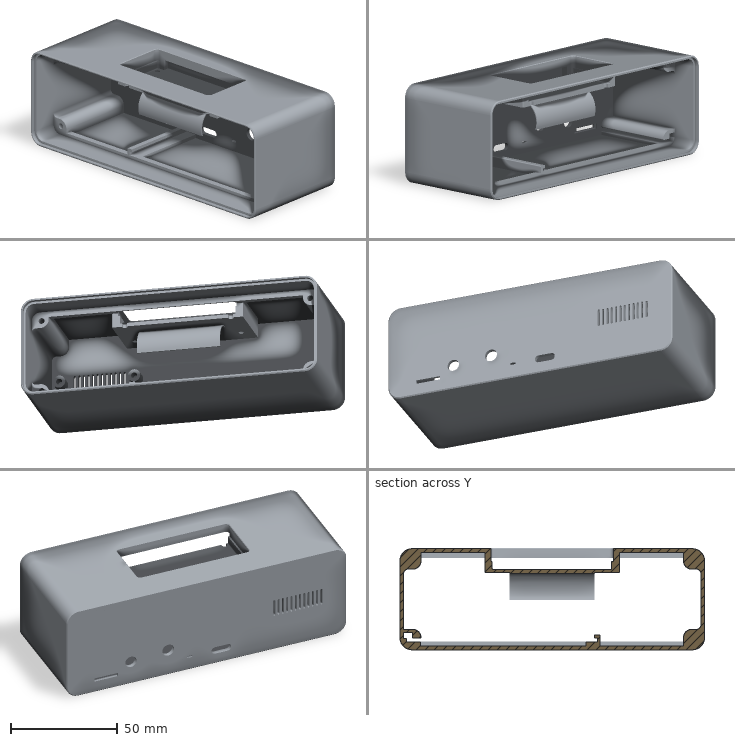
import cadquery as cq
import math

length = 144.0
depth = 56.0
height = 48.0
wall = 2.0
corner_radius = 6.0
edge_chamfer = 0.5
lip_wall = 0.94
lip_depth = 2.0

front_y = -depth / 2
back_y = depth / 2
inner_back_y = back_y - wall
inner_x = length / 2 - wall
inner_z = height / 2 - wall
below_floor = lip_wall - height / 2
above_ceiling = height / 2 - lip_wall

stop_front_y = front_y + 14.0
stop_width = 3.0
stop_back_y = stop_front_y + stop_width
lower_stop_top = -20.2
upper_stop_bottom = 19.3

screw_diameter = 2.9
screw_depth = 11.5
drill_point_angle = 118.0
corner_screw_x = 65.2
corner_screw_z = 17.5
corner_boss_reach = 3.5
corner_boss_radius = 4.0
corner_boss_fillet = 1.9
fan_screw_x = (-65.2, -28.8)
fan_screw_z = -0.7
fan_boss_diameter = 6.0
fan_boss_height = 5.8
fan_screw_depth = 4.3

board_slot_top = -18.3
rail_left = -22.7
rail_thickness = 1.5
rail_lip_right = -19.9
rail_top = -16.8
left_support_right = -15.7
right_support_left = 61.9
guide_edge_radius = 0.5
board_stop_left = 68.5
guide_notch_left = 66.1
guide_notch_top = -15.8

window_half_x = 28.8
window_half_y = 13.2
window_radius = 1.7
window_chamfer = 0.3
window_bottom = 18.0
tray_half_x = 31.8
tray_edge_radius = 0.5
tray_back_y = 18.7
tray_bottom = 12.4
tray_floor_top = 14.1
tray_left = -28.0
tray_right = 28.2
tray_corner_radius = 1.0
tray_foot_radius = 0.5
undercut_half_x = 24.5
undercut_back_y = 16.3
undercut_top = upper_stop_bottom
display_hole_diameter = 2.5
display_hole_x = 25.8
display_hole_y = 10.2

tongue_y = 0.7
tongue_z = 2.7
tongue_radius = 10.0
tongue_thickness = 0.5
tongue_half_length = 20.2
tongue_bottom = -0.6

vent_count = 12
vent_width = 1.0
vent_height = 8.6
vent_pitch = 2.2
vent_first_x = -59.0
usb_center = (-7.5, -16.7)
usb_size = (10.1, 3.6)
light_slot_center = (8.8, -16.7)
light_slot_length = 2.9
light_slot_width = 1.0
jack_holes = ((19.9, -10.2, 6.0), (39.0, -11.8, 5.8))
card_pocket_center = (51.0, -17.1)
card_pocket_size = (15.5, 2.6)
card_pocket_depth = 1.0
card_pocket_chamfer = 0.5
card_slot_center = (51.8, -17.1)
card_slot_size = (12.1, 1.7)


def box(x0, x1, y0, y1, z0, z1):
    return cq.Workplane("XY").box(x1 - x0, y1 - y0, z1 - z0, centered=False).translate((x0, y0, z0))


def front_plane(y):
    """Sketch plane facing the open front, with X to the right and Z up."""
    return cq.Workplane("XZ", origin=(0, y, 0))


def rounded_block(inset, y0, y1):
    """Block along Y with the outline of the case moved inwards by inset."""
    block = box(inset - length / 2, length / 2 - inset, y0, y1, inset - height / 2, height / 2 - inset)
    return block.edges("|Y").fillet(corner_radius - inset)


def drilled_hole(x, y, z, hole_depth):
    """Blind screw hole entered from the front, ending in a drill point."""
    radius = screw_diameter / 2
    point = radius / math.tan(math.radians(drill_point_angle / 2))
    half_section = [(0, 0), (radius, 0), (radius, hole_depth), (0, hole_depth + point)]
    return cq.Workplane("XY").polyline(half_section).close().revolve(360, (0, 0), (0, 1)).translate((x, y, z))


def shell():
    body = rounded_block(0, front_y, back_y).faces("<Y or >Y").chamfer(edge_chamfer)
    cavity = rounded_block(wall, front_y, inner_back_y)
    lip = rounded_block(lip_wall, front_y, front_y + lip_depth)
    return body.cut(cavity).cut(lip)


def corner_boss(side_x, side_z):
    """Boss filling one corner, rounded about its screw and blended into the side wall."""
    side_edge = corner_screw_x - corner_boss_reach
    level_edge = corner_screw_z - corner_boss_reach
    outer_x = length / 2 - lip_wall
    outline = (
        front_plane(inner_back_y)
        .moveTo(outer_x, above_ceiling)
        .lineTo(side_edge, above_ceiling)
        .lineTo(side_edge, level_edge + corner_boss_radius)
        .radiusArc((side_edge + corner_boss_radius, level_edge), -corner_boss_radius)
        .lineTo(inner_x - corner_boss_fillet, level_edge)
        .radiusArc((inner_x, level_edge - corner_boss_fillet), corner_boss_fillet)
        .lineTo(outer_x, level_edge - corner_boss_fillet)
        .close()
    )
    boss = outline.extrude(inner_back_y - stop_front_y)
    if side_x < 0:
        boss = boss.mirror("YZ")
    if side_z < 0:
        boss = boss.mirror("XY")
    return boss


def stop_bars():
    lower = box(-inner_x, inner_x, stop_front_y, stop_back_y, below_floor, lower_stop_top)
    upper = box(-inner_x, inner_x, stop_front_y, stop_back_y, upper_stop_bottom, above_ceiling)
    return lower.union(upper)


def board_guide():
    """Hooked rail on the left and undercut corner boss on the right, each beside a low support."""
    run = inner_back_y - stop_front_y
    rail = (
        front_plane(inner_back_y)
        .moveTo(rail_left, below_floor)
        .lineTo(rail_left, rail_top)
        .lineTo(rail_lip_right, rail_top)
        .lineTo(rail_lip_right, board_slot_top)
        .lineTo(rail_left + rail_thickness, board_slot_top)
        .lineTo(rail_left + rail_thickness, below_floor)
        .close()
        .extrude(run)
        .edges("|Y and <X and >Z")
        .fillet(guide_edge_radius)
    )
    left_support = box(
        rail_left + rail_thickness, left_support_right, stop_back_y, inner_back_y, below_floor, lower_stop_top
    )

    guide_left = corner_screw_x - corner_boss_reach
    guide_top = corner_boss_reach - corner_screw_z
    guide = (
        front_plane(inner_back_y)
        .moveTo(guide_left, board_slot_top)
        .lineTo(guide_left, guide_top - corner_boss_radius)
        .radiusArc((guide_left + corner_boss_radius, guide_top), corner_boss_radius)
        .lineTo(inner_x + lip_wall, guide_top)
        .lineTo(inner_x + lip_wall, guide_notch_top)
        .lineTo(guide_notch_left, guide_notch_top)
        .lineTo(guide_notch_left, board_slot_top)
        .close()
        .extrude(run)
        .edges("|Y and <Z")
        .fillet(guide_edge_radius)
    )
    right_support = (
        box(right_support_left, inner_x, stop_back_y, inner_back_y, below_floor, lower_stop_top)
        .edges("|Y and <X and >Z")
        .fillet(guide_edge_radius)
    )
    board_stop = box(
        board_stop_left, inner_x + lip_wall, stop_front_y, inner_back_y, below_floor, board_slot_top
    )
    return rail.union(left_support).union(guide).union(right_support).union(board_stop)


def fan_bosses():
    centers = [(x, fan_screw_z) for x in fan_screw_x]
    circles = front_plane(inner_back_y).pushPoints(centers).circle(fan_boss_diameter / 2)
    return circles.extrude(fan_boss_height)


def screw_holes():
    corners = [
        (-corner_screw_x, corner_screw_z),
        (-corner_screw_x, -corner_screw_z),
        (corner_screw_x, corner_screw_z),
    ]
    holes = cq.Workplane("XY")
    for x, z in corners:
        holes = holes.union(drilled_hole(x, stop_front_y, z, screw_depth))
    for x in fan_screw_x:
        holes = holes.union(drilled_hole(x, inner_back_y - fan_boss_height, fan_screw_z, fan_screw_depth))
    return holes


def tray_block():
    """Block that holds the display, with a thin curved tongue below it."""
    tray = box(-tray_half_x, tray_half_x, stop_back_y, tray_back_y, tray_bottom, above_ceiling)
    tray = tray.edges("|Z and <X and <Y").fillet(tray_edge_radius)
    tongue = (
        cq.Workplane("YZ", origin=(-tongue_half_length, 0, 0))
        .center(tongue_y, tongue_z)
        .circle(tongue_radius)
        .circle(tongue_radius - tongue_thickness)
        .extrude(2 * tongue_half_length)
    )
    front_part = box(
        -tongue_half_length, tongue_half_length,
        tongue_y - tongue_radius, tongue_y,
        tongue_bottom, tongue_z + tongue_radius,
    )
    return tray.union(tongue.intersect(front_part))


def tray_pocket():
    """Window through the top, the display space below it and the holes in the tray floor."""
    window = (
        cq.Workplane("XY", origin=(0, 0, window_bottom))
        .rect(2 * window_half_x, 2 * window_half_y)
        .extrude(height / 2 - window_bottom)
        .edges("|Z")
        .fillet(window_radius)
    )
    rim = (
        cq.Workplane("XY", origin=(0, 0, height / 2 - window_chamfer))
        .rect(2 * (window_half_x + window_chamfer), 2 * (window_half_y + window_chamfer))
        .extrude(2 * window_chamfer)
        .edges("|Z")
        .fillet(window_radius + window_chamfer)
        .faces("<Z")
        .chamfer(window_chamfer)
    )
    lower = box(tray_left, tray_right, -window_half_y, window_half_y, tray_floor_top, window_bottom)
    rounded_foot = lower.edges("|Y and <Z").fillet(tray_foot_radius)
    lower = lower.edges("|Z").fillet(tray_corner_radius).intersect(rounded_foot)
    undercut = box(-undercut_half_x, undercut_half_x, 0, undercut_back_y, tray_floor_top, undercut_top)
    pocket = window.union(rim).union(lower).union(undercut)
    for x in (-display_hole_x, display_hole_x):
        for y in (-display_hole_y, display_hole_y):
            hole = cq.Workplane("XY", origin=(x, y, tray_bottom)).circle(display_hole_diameter / 2)
            pocket = pocket.union(hole.extrude(tray_floor_top - tray_bottom))
        notch = box(
            x - display_hole_diameter / 2, x + display_hole_diameter / 2,
            stop_back_y, -display_hole_y, tray_bottom, tray_floor_top,
        )
        pocket = pocket.union(notch)
    return pocket


def back_openings():
    """Vents, connector openings and the card slot with its pocket on the inside."""
    wall_plane = front_plane(back_y)
    vents = [(vent_first_x + i * vent_pitch, fan_screw_z) for i in range(vent_count)]
    cuts = wall_plane.pushPoints(vents).slot2D(vent_height, vent_width, 90).extrude(wall)
    cuts = cuts.union(wall_plane.center(*usb_center).slot2D(*usb_size).extrude(wall))
    cuts = cuts.union(
        wall_plane.center(*light_slot_center).slot2D(light_slot_length, light_slot_width).extrude(wall)
    )
    for x, z, diameter in jack_holes:
        cuts = cuts.union(wall_plane.center(x, z).circle(diameter / 2).extrude(wall))
    cuts = cuts.union(wall_plane.center(*card_slot_center).rect(*card_slot_size).extrude(wall))
    card_pocket = (
        front_plane(inner_back_y + card_pocket_depth)
        .center(*card_pocket_center)
        .rect(*card_pocket_size)
        .extrude(card_pocket_depth)
        .faces(">Y")
        .chamfer(card_pocket_chamfer)
    )
    return cuts.union(card_pocket)


inside = stop_bars().union(board_guide()).union(fan_bosses()).union(tray_block())
for sides in ((-1, 1), (-1, -1), (1, 1)):
    inside = inside.union(corner_boss(*sides))
inside = inside.intersect(rounded_block(lip_wall, front_y, back_y))

result = shell().union(inside).cut(screw_holes()).cut(tray_pocket()).cut(back_openings())